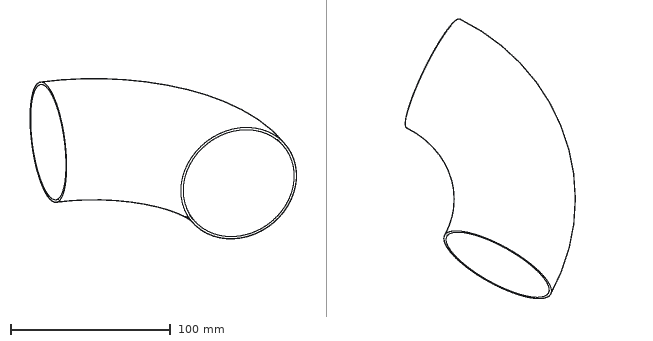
import cadquery as cq

OUTER_DIAMETER = 76.1
WALL_THICKNESS = 1.6
BEND_RADIUS = 95.0
BEND_ANGLE = 90.0

OUTER_RADIUS = OUTER_DIAMETER / 2
INNER_RADIUS = OUTER_RADIUS - WALL_THICKNESS


def pipe_elbow():
    """Sweep the pipe's ring section about a vertical axis through the bend centre.

    The first mouth is centred on the origin and faces -Y; the second faces +X.
    """
    ring = cq.Workplane("XZ").circle(OUTER_RADIUS).circle(INNER_RADIUS)
    axis_start = (BEND_RADIUS, 0)
    axis_end = (BEND_RADIUS, -1)
    return ring.revolve(BEND_ANGLE, axis_start, axis_end)


result = pipe_elbow()